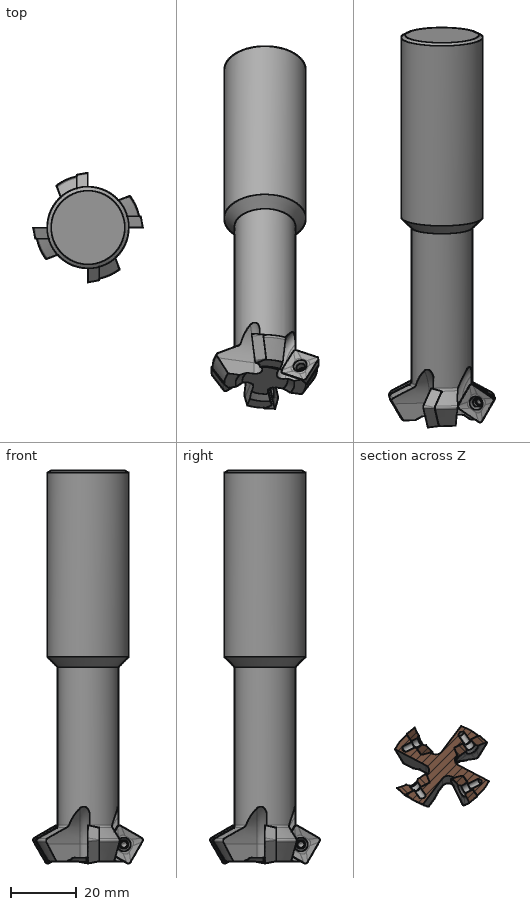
import cadquery as cq
import math

TEETH = 4
TOTAL_LENGTH = 120.0
TIP_RADIUS = 33.58 / 2

SHANK_RADIUS = 24.99 / 2
SHANK_CHAMFER_RADIAL = 1.25
SHANK_CHAMFER_LENGTH = 0.7
NECK_RADIUS = 18.7 / 2
NECK_TOP = 60.0
SHANK_BOTTOM = NECK_TOP + SHANK_RADIUS - NECK_RADIUS

INSERT_SIDE = 9.0
INSERT_CORNER_RADIUS = 0.8
INSERT_THICKNESS = 3.4
INSERT_RELIEF_ANGLE = 11.0
CUTTING_EDGE_ANGLE = 60.0
RAKE_DEPTH = 0.4
RAKE_FLOOR_SIDE = 5.0
RAKE_FLOOR_CORNER_RADIUS = 1.4
INSERT_HOLE_RADIUS = 2.7 / 2
INSERT_SEAT_RADIUS = 3.4 / 2
INSERT_SINK_RADIUS = 4.2 / 2
INSERT_SINK_DEPTH = 0.5

SCREW_HOLE_RADIUS = 2.0 / 2
SCREW_HOLE_DEPTH = 3.5
DRILL_POINT_ANGLE = 118.0

HEAD_BOTTOM = 0.6
HEAD_SETBACK = 0.55
NECK_FILLET_RADIUS = 1.0
DISH_TOP = 1.8
DISH_CEILING_RADIUS = 6.9
DISH_RIM_RADIUS = 9.0

FLUTE_WALL_X = 0.6
FLUTE_FILLET_RADIUS = 4.2 / 2
FLUTE_FLOOR_ANGLE = 27.0
FLUTE_FLOOR_POINT = (-12.8, -9.6)
FLUTE_BEND_Z = 6.0
FLUTE_BEND_AXIS_Y = -19.3
FLUTE_REACH = 22.0

tilt = math.radians(CUTTING_EDGE_ANGLE)
corner_spacing = INSERT_SIDE - 2 * INSERT_CORNER_RADIUS
tip_corner_x = TIP_RADIUS - INSERT_CORNER_RADIUS
tip_corner_z = INSERT_CORNER_RADIUS + corner_spacing * math.sin(tilt)
insert_x = tip_corner_x - corner_spacing / 2 * (math.cos(tilt) + math.sin(tilt))
insert_z = tip_corner_z + corner_spacing / 2 * (math.cos(tilt) - math.sin(tilt))


def insert_plane(depth):
    """Plane parallel to the insert face, its normal pointing into the tooth."""
    return cq.Plane(
        origin=(insert_x, depth, insert_z),
        xDir=(math.cos(tilt), 0, math.sin(tilt)),
        normal=(0, 1, 0),
    )


def rounded_square(side, radius):
    return cq.Sketch().rect(side, side).vertices().fillet(radius)


def insert_blank():
    """Insert without its rake and hole; also the shape of its seat in the tooth."""
    outline = rounded_square(INSERT_SIDE, INSERT_CORNER_RADIUS)
    return (
        cq.Workplane(insert_plane(0))
        .placeSketch(outline)
        .extrude(INSERT_THICKNESS, taper=INSERT_RELIEF_ANGLE)
    )


def turned_about_insert_axis(points):
    """Turn a (radius, depth) outline about the axis through the insert centre."""
    outline = [(insert_x + radius, depth) for radius, depth in points]
    return (
        cq.Workplane("XY", origin=(0, 0, insert_z))
        .polyline(outline)
        .close()
        .revolve(360, (insert_x, 0), (insert_x, 1))
    )


def make_insert():
    rake = (
        cq.Workplane(insert_plane(0))
        .placeSketch(
            rounded_square(INSERT_SIDE, INSERT_CORNER_RADIUS),
            rounded_square(RAKE_FLOOR_SIDE, RAKE_FLOOR_CORNER_RADIUS).moved(
                cq.Location(cq.Vector(0, 0, RAKE_DEPTH))
            ),
        )
        .loft()
    )
    sink_bottom = RAKE_DEPTH + INSERT_SINK_DEPTH
    screw_seat_bottom = sink_bottom + INSERT_SEAT_RADIUS - INSERT_HOLE_RADIUS
    hole = turned_about_insert_axis(
        [
            (0, 0),
            (INSERT_SINK_RADIUS, 0),
            (INSERT_SINK_RADIUS, RAKE_DEPTH),
            (INSERT_SEAT_RADIUS, sink_bottom),
            (INSERT_HOLE_RADIUS, screw_seat_bottom),
            (INSERT_HOLE_RADIUS, INSERT_THICKNESS),
            (0, INSERT_THICKNESS),
        ]
    )
    return insert_blank().cut(rake).cut(hole)


def make_screw_hole():
    """Blind hole in the seat floor, ending in a drill point."""
    mouth = INSERT_THICKNESS
    straight_end = mouth + SCREW_HOLE_DEPTH
    point_length = SCREW_HOLE_RADIUS / math.tan(math.radians(DRILL_POINT_ANGLE / 2))
    return turned_about_insert_axis(
        [
            (0, mouth),
            (SCREW_HOLE_RADIUS, mouth),
            (SCREW_HOLE_RADIUS, straight_end),
            (0, straight_end + point_length),
        ]
    )


def make_turned_body():
    """Shank, neck and head before the flutes are cut."""
    nose_x = tip_corner_x - HEAD_SETBACK * (math.sin(tilt) + math.cos(tilt))
    nose_z = tip_corner_z - HEAD_SETBACK * (math.sin(tilt) - math.cos(tilt))

    def nose_point(angle):
        return (
            nose_x + INSERT_CORNER_RADIUS * math.cos(angle),
            nose_z + INSERT_CORNER_RADIUS * math.sin(angle),
        )

    lower = nose_point(tilt - math.pi / 2)
    middle = nose_point(0)
    upper = nose_point(tilt)
    bottom_radius = lower[0] - (lower[1] - HEAD_BOTTOM) / math.tan(tilt)
    blend_x = NECK_RADIUS + NECK_FILLET_RADIUS
    blend_start_x = blend_x - NECK_FILLET_RADIUS * math.cos(tilt)
    blend_start_z = upper[1] + (upper[0] - blend_start_x) / math.tan(tilt)
    blend_z = blend_start_z + NECK_FILLET_RADIUS * math.sin(tilt)
    blend_middle = (
        blend_x - NECK_FILLET_RADIUS * math.cos(tilt / 2),
        blend_z - NECK_FILLET_RADIUS * math.sin(tilt / 2),
    )
    return (
        cq.Workplane("XZ")
        .moveTo(0, DISH_TOP)
        .lineTo(DISH_CEILING_RADIUS, DISH_TOP)
        .lineTo(DISH_RIM_RADIUS, HEAD_BOTTOM)
        .lineTo(bottom_radius, HEAD_BOTTOM)
        .lineTo(*lower)
        .threePointArc(middle, upper)
        .lineTo(blend_start_x, blend_start_z)
        .threePointArc(blend_middle, (NECK_RADIUS, blend_z))
        .lineTo(NECK_RADIUS, NECK_TOP)
        .lineTo(SHANK_RADIUS, SHANK_BOTTOM)
        .lineTo(SHANK_RADIUS, TOTAL_LENGTH - SHANK_CHAMFER_LENGTH)
        .lineTo(SHANK_RADIUS - SHANK_CHAMFER_RADIAL, TOTAL_LENGTH)
        .lineTo(0, TOTAL_LENGTH)
        .close()
        .revolve(360, (0, 0), (0, 1))
    )


def flute_section():
    """Flute outline at the bend height: wall, fillet and sloping floor."""
    floor_angle = math.radians(FLUTE_FLOOR_ANGLE)
    floor_x, floor_y = FLUTE_FLOOR_POINT
    radius = FLUTE_FILLET_RADIUS

    def floor_height(x):
        return floor_y + (x - floor_x) * math.tan(floor_angle)

    centre_x = FLUTE_WALL_X - radius
    centre_y = floor_height(centre_x) - radius / math.cos(floor_angle)

    def fillet_point(angle):
        return (centre_x + radius * math.cos(angle), centre_y + radius * math.sin(angle))

    floor_end = math.pi / 2 + floor_angle
    return (
        cq.Workplane("XY", origin=(0, 0, FLUTE_BEND_Z))
        .moveTo(FLUTE_WALL_X, FLUTE_BEND_AXIS_Y)
        .lineTo(*fillet_point(0))
        .threePointArc(fillet_point(floor_end / 2), fillet_point(floor_end))
        .lineTo(-FLUTE_REACH, floor_height(-FLUTE_REACH))
        .lineTo(-FLUTE_REACH, FLUTE_BEND_AXIS_Y)
        .close()
    )


def make_flute():
    straight = flute_section().extrude(-FLUTE_BEND_Z)
    bend = flute_section().revolve(90, (0, FLUTE_BEND_AXIS_Y), (1, FLUTE_BEND_AXIS_Y))
    return straight.union(bend)


def around_axis(shape):
    """Copies of a shape, one for each tooth."""
    return [shape.rotate((0, 0, 0), (0, 0, 1), 360 / TEETH * tooth) for tooth in range(TEETH)]


body = make_turned_body()
for flute in around_axis(make_flute()):
    body = body.cut(flute)
for seat in around_axis(insert_blank().union(make_screw_hole())):
    body = body.cut(seat)

inserts = around_axis(make_insert())

result = cq.Compound.makeCompound([body.val(), *[insert.val() for insert in inserts]])